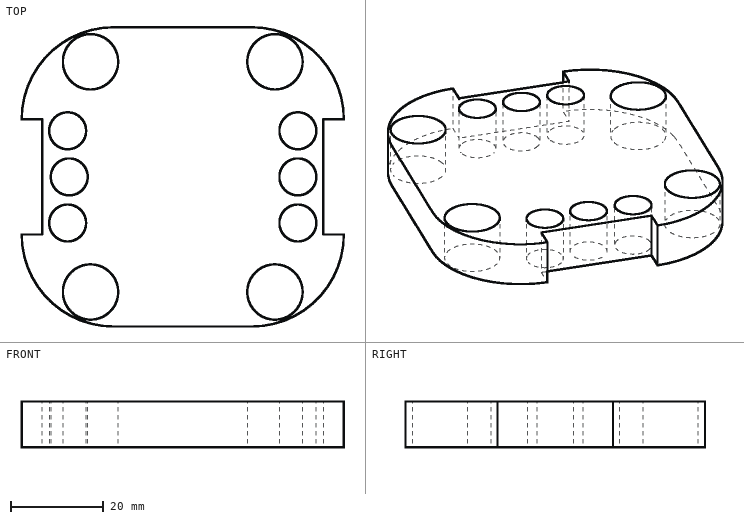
import cadquery as cq

length = 70.0
width = 65.0
thickness = 10.0
corner_radius = 20.0

notch_depth = 4.5
notch_width = width - 2 * corner_radius

corner_hole_diameter = 12.0
corner_hole_x = 20.0
corner_hole_y = 25.0

row_hole_diameter = 8.0
row_x = 25.0
row_pitch = 10.0
left_middle_offset = 0.35


def rounded_plate():
    plate = cq.Workplane("XY").box(length, width, thickness, centered=(True, True, False))
    return plate.edges("|Z").fillet(corner_radius)


def side_notches():
    return (
        cq.Workplane("XY")
        .pushPoints([(-length / 2, 0), (length / 2, 0)])
        .rect(2 * notch_depth, notch_width)
        .extrude(thickness)
    )


def through_holes(points, diameter):
    return cq.Workplane("XY").pushPoints(points).circle(diameter / 2).extrude(thickness)


corner_points = [(sx * corner_hole_x, sy * corner_hole_y) for sx in (-1, 1) for sy in (-1, 1)]
row_points = [(sx * row_x, sy * row_pitch) for sx in (-1, 1) for sy in (-1, 1)]
row_points += [(-row_x + left_middle_offset, 0), (row_x, 0)]

result = (
    rounded_plate()
    .cut(side_notches())
    .cut(through_holes(corner_points, corner_hole_diameter))
    .cut(through_holes(row_points, row_hole_diameter))
)